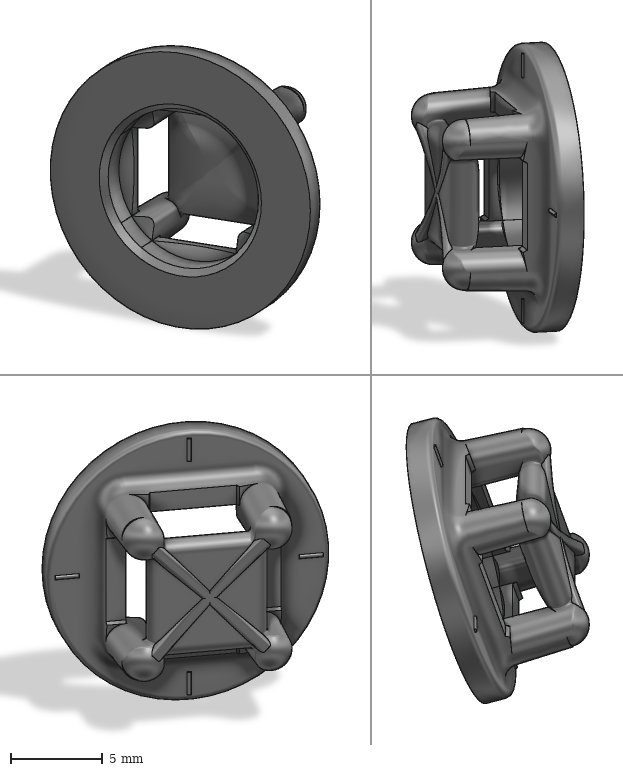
import cadquery as cq
import math

ORIGIN = (0, 0, 0)
Z_AXIS = (0, 0, 1)
X_AXIS = (1, 0, 0)

part_height = 6.89

flange_radius = 7.94
flange_thickness = 1.46
rim_fillet = 0.33

bore_radius = 4.58
bore_chamfer = 0.37
bore_depth = 1.7
cone_slope = 0.385
cone_height = cone_slope * bore_radius

collar_top = 2.47
collar_half = 4.93
frame_draft = 2.7
frame_base_half = collar_half + collar_top * math.tan(math.radians(frame_draft))
corner_centre = 3.67
collar_fillet = 0.95
window_half = 3.8

post_inner = 2.56
post_side_radius = 1.05
post_inner_radius = 0.45
dome_radius = 1.24
dome_centre = 3.54
dome_base = part_height - dome_radius

foot_height = 0.23
foot_spread = 0.13

plate_half = 3.38
plate_front = 4.15
front_arc_radius = 5.95
plate_edge_radius = 0.75
ridge_fillet = 1.0
plate_post_fillet = 0.2
front_arc_centre = plate_front + front_arc_radius
edge_centre = plate_half - plate_edge_radius
edge_level = front_arc_centre - math.sqrt((front_arc_radius - plate_edge_radius) ** 2 - edge_centre**2)
plate_back = edge_level + plate_edge_radius

rib_width = 0.8
rib_top_fillet = 0.25
rib_mid_height = 6.4
rib_end_inset = 3.15
rib_end_offset = math.sqrt(2) * (dome_centre - rib_end_inset)
rib_end_height = dome_base + math.sqrt(dome_radius**2 - rib_end_offset**2)

tick_inner = 6.2
tick_outer = 7.54
tick_radius = 0.12

pick_margin = 0.05


def quarter_turn(body, count=1):
    return body.rotate(ORIGIN, Z_AXIS, 90 * count)


def repeat_four_times(body):
    ring = body
    for count in range(1, 4):
        ring = ring.union(quarter_turn(body, count))
    return ring


def is_diagonal(edge):
    """True for an edge that spans both X and Y."""
    box = edge.BoundingBox()
    return min(box.xlen, box.ylen) > pick_margin


def is_tilted(edge):
    """True for an edge that does not lie in one level."""
    return edge.BoundingBox().zlen > pick_margin / 10


def corner_block(start, size, height):
    """Square block in the +X +Y quadrant with its near corner at (start, start)."""
    block = cq.Workplane("XY").rect(size, size, centered=False).extrude(height)
    return block.translate((start, start, 0))


def make_frame_block(height):
    """Drafted rounded square that bounds the collar and the posts."""
    side = 2 * frame_base_half
    outline = cq.Sketch().rect(side, side).vertices().fillet(frame_base_half - corner_centre)
    return cq.Workplane("XY").placeSketch(outline).extrude(height, taper=frame_draft)


def make_base():
    """Flange and collar with a square window through both."""
    flange = cq.Workplane("XY").circle(flange_radius).extrude(flange_thickness)
    flange = flange.faces(">Z").edges().fillet(rim_fillet)
    base = flange.union(make_frame_block(collar_top))

    reach = (frame_base_half + flange_radius) / 2
    collar_foot = cq.selectors.BoxSelector(
        (-reach, -reach, flange_thickness - pick_margin),
        (reach, reach, flange_thickness + pick_margin),
        boundingbox=True,
    )
    base = base.edges(collar_foot).fillet(collar_fillet)

    window = cq.Workplane("XY").rect(2 * window_half, 2 * window_half).extrude(collar_top)
    return base.cut(window)


def make_post():
    """Post in the +X +Y corner with a spherical tip."""
    post = make_frame_block(part_height).intersect(
        corner_block(post_inner, frame_base_half, part_height)
    )
    middle = part_height / 2
    upright_edges = [
        (post_inner, post_inner, post_inner_radius),
        (post_inner, collar_half, post_side_radius),
        (collar_half, post_inner, post_side_radius),
    ]
    for x, y, radius in upright_edges:
        nearest = cq.selectors.NearestToPointSelector((x, y, middle))
        post = post.edges(nearest).fillet(radius)

    dome = cq.Workplane("XY").sphere(dome_radius).translate((dome_centre, dome_centre, dome_base))
    envelope = corner_block(0, flange_radius, dome_base).union(dome)
    return post.intersect(envelope)


def make_feet():
    """Wedges at the foot of one post, one on each of the two collar walls."""
    wedge = (
        cq.Workplane("XZ")
        .moveTo(post_inner - foot_spread, flange_thickness)
        .lineTo(post_inner - foot_spread, collar_top)
        .lineTo(post_inner, collar_top + foot_height)
        .lineTo(corner_centre, collar_top)
        .lineTo(corner_centre, flange_thickness)
        .close()
        .extrude(-frame_base_half)
    )
    wedge = wedge.intersect(corner_block(0, frame_base_half, part_height))
    wedge = wedge.cut(cq.Workplane("XY").rect(2 * window_half, 2 * window_half).extrude(part_height))
    wedge = wedge.intersect(make_frame_block(part_height))
    return wedge.union(wedge.mirror("YZ").rotate(ORIGIN, Z_AXIS, -90))


def make_cushion():
    """Square plate with full-round edges whose front is two crossed cylinders."""
    stretch = front_arc_radius / (front_arc_radius - plate_edge_radius)
    tangent_x = edge_centre * stretch
    tangent_z = front_arc_centre - (front_arc_centre - edge_level) * stretch
    strip = (
        cq.Workplane("XZ")
        .moveTo(-tangent_x, tangent_z)
        .threePointArc((0, plate_front), (tangent_x, tangent_z))
        .threePointArc((plate_half, edge_level), (edge_centre, plate_back))
        .lineTo(-edge_centre, plate_back)
        .threePointArc((-plate_half, edge_level), (-tangent_x, tangent_z))
        .close()
        .extrude(plate_half, both=True)
    )
    return strip.intersect(quarter_turn(strip))


def make_ridge_limit():
    """Block over the plate's domed front, with its diagonal ridges rounded."""
    half = collar_half
    edge_z = front_arc_centre - math.sqrt(front_arc_radius**2 - half**2)
    strip = (
        cq.Workplane("XZ")
        .moveTo(-half, edge_z)
        .threePointArc((0, plate_front), (half, edge_z))
        .lineTo(half, part_height)
        .lineTo(-half, part_height)
        .close()
        .extrude(half, both=True)
    )
    block = strip.intersect(quarter_turn(strip))
    ridges = [edge for edge in block.edges().vals() if is_diagonal(edge)]
    return block.newObject(ridges).fillet(ridge_fillet)


def make_filleted_quarter():
    """One post joined to its quarter of the cushion by a small fillet."""
    post = make_post()
    quarter_plate = make_cushion().intersect(corner_block(0, flange_radius, part_height))
    joined = post.union(quarter_plate)

    near = post_inner - pick_margin
    far = corner_centre + pick_margin
    seam_zone = cq.selectors.BoxSelector(
        (near, near, plate_front), (far, far, part_height), boundingbox=True
    )
    seam = [
        edge for edge in joined.edges(seam_zone).vals()
        if is_tilted(edge) and edge.BoundingBox().zmax < plate_back + pick_margin
    ]
    joined = joined.newObject(seam).fillet(plate_post_fillet)
    return joined.intersect(make_ridge_limit().union(post))


def make_rib():
    """Rib along the diagonal with a hollow top edge rising into the domes."""
    half_length = math.sqrt(2) * rib_end_inset
    rib = (
        cq.Workplane("XZ")
        .moveTo(-half_length, edge_level)
        .lineTo(-half_length, rib_end_height)
        .threePointArc((0, rib_mid_height), (half_length, rib_end_height))
        .lineTo(half_length, edge_level)
        .close()
        .extrude(rib_width / 2, both=True)
    )
    rib = rib.edges("%CIRCLE").fillet(rib_top_fillet)
    return rib.rotate(ORIGIN, Z_AXIS, 45)


def make_tick():
    tick = cq.Workplane("YZ").circle(tick_radius).extrude(tick_outer - tick_inner)
    return tick.translate((tick_inner, 0, flange_thickness))


def cut_bore(body):
    bore = cq.Workplane("XY").circle(bore_radius).extrude(bore_depth)
    mouth = cq.Solid.makeCone(bore_radius + bore_chamfer, bore_radius, bore_chamfer)
    bottom = cq.Solid.makeCone(bore_radius, 0, cone_height, pnt=cq.Vector(0, 0, bore_depth))
    return body.cut(bore).cut(cq.Workplane(mouth)).cut(cq.Workplane(bottom))


def make_part():
    handle = repeat_four_times(make_filleted_quarter())
    rib = make_rib()
    handle = handle.union(rib).union(quarter_turn(rib))
    body = make_base().union(repeat_four_times(make_feet())).union(handle)
    body = cut_bore(body)
    body = body.union(repeat_four_times(make_tick()))
    return body.rotate(ORIGIN, X_AXIS, -90)


result = make_part()